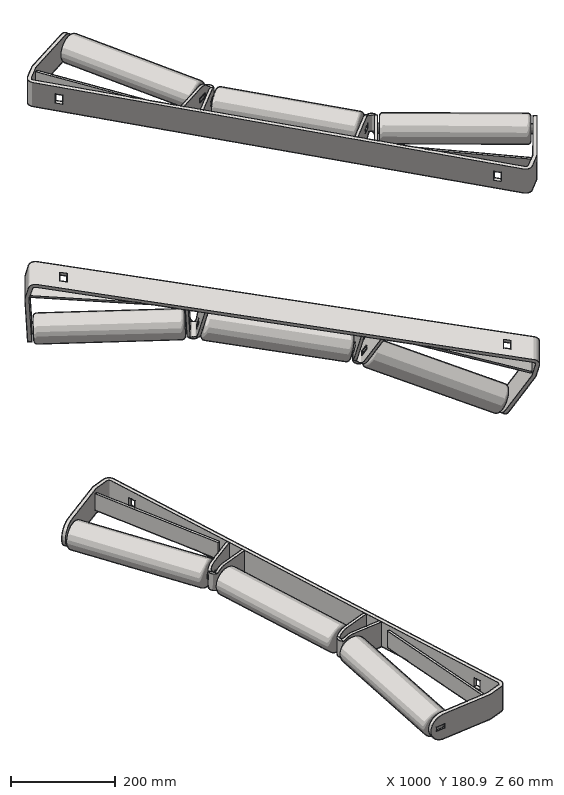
import cadquery as cq
import math

LENGTH = 1000.0
WIDTH = 60.0
FRAME_THICKNESS = 8.0
INNER_BEND_RADIUS = 6.0
TROUGH_ANGLE = 15.0
KINK_HEIGHT = 45.0
ARM_BLANK_HEIGHT = 181.0

MOUNT_SLOT_LENGTH = 15.0
MOUNT_SLOT_HEIGHT = 22.0
MOUNT_SLOT_INSET = 66.0

ROLLER_DIAMETER = 60.0
ROLLER_LENGTH = 290.0
ROLLER_EDGE_RADIUS = 7.0
SHAFT_DIAMETER = 20.0
SHAFT_LENGTH = 306.0
SHAFT_FLAT_HEIGHT = 10.0
CENTRE_ROLLER_Y = 72.0
SIDE_ROLLER_X = 319.0
SIDE_ROLLER_Y = 116.0

BRACKET_THICKNESS = 6.0
BRACKET_LEG_X = 153.0
BRACKET_TOP = 95.0
BRACKET_NECK_WIDTH = 40.0

ROUND_END_DROP = 7.0

STRUT_THICKNESS = 5.0
STRUT_WIDTH = 40.0
STRUT_ANGLE = 7.4
STRUT_WALL_Y = 47.0
STRUT_END_X = 213.0

SIN = math.sin(math.radians(TROUGH_ANGLE))
COS = math.cos(math.radians(TROUGH_ANGLE))
FRAME_BEND = INNER_BEND_RADIUS + FRAME_THICKNESS / 2
BRACKET_BEND = INNER_BEND_RADIUS + BRACKET_THICKNESS / 2
WALL_X = (LENGTH - FRAME_THICKNESS) / 2
BASE_Y = FRAME_THICKNESS / 2
ARCH_X = BRACKET_LEG_X + BRACKET_BEND

CENTRE_AXIS = cq.Plane(origin=(0, CENTRE_ROLLER_Y, 0), xDir=(0, 1, 0), normal=(1, 0, 0))
LEFT_AXIS = cq.Plane(origin=(-SIDE_ROLLER_X, SIDE_ROLLER_Y, 0), xDir=(SIN, COS, 0), normal=(COS, -SIN, 0))


def mirrored(body):
    """The same body on the other side of the middle plane."""
    return body.mirror("YZ")


def swept_strip(path, thickness):
    """Flat strip, standing on edge, along a path in the XY plane."""
    start = path.val().startPoint()
    tangent = path.val().tangentAt(0)
    section = cq.Plane(origin=start.toTuple(), xDir=(0, 0, 1), normal=tangent.toTuple())
    return cq.Workplane(section).rect(WIDTH, thickness).sweep(path)


def cylinder(axis_plane, diameter, length):
    """Cylinder along a roller axis, centred on the middle of the roller."""
    return cq.Workplane(axis_plane).workplane(offset=-length / 2).circle(diameter / 2).extrude(length)


def shaft_slots(axis_plane):
    """Cutter for the slots that hold both flattened ends of a shaft."""
    return cq.Workplane(axis_plane).rect(SHAFT_DIAMETER, SHAFT_FLAT_HEIGHT).extrude(ARCH_X, both=True)


def corner_cutter(axis_plane):
    """Leaves a half-round end on the supports at both ends of a roller."""
    centre = cq.Workplane(axis_plane).center(-ROUND_END_DROP, 0)
    beyond = centre.center(WIDTH, 0).rect(2 * WIDTH, 2 * WIDTH).extrude(ARCH_X, both=True)
    return beyond.cut(centre.circle(WIDTH / 2).extrude(ARCH_X, both=True))


def make_left_half_frame():
    """Base, upright wall and leaning arm; the arm is cut back to its half-round end."""
    kink_reach = FRAME_BEND * math.tan(math.radians(TROUGH_ANGLE / 2))
    arm_x = WALL_X - (ARM_BLANK_HEIGHT - KINK_HEIGHT) * SIN / COS
    path = (
        cq.Workplane("XY")
        .moveTo(0, BASE_Y)
        .lineTo(-WALL_X + FRAME_BEND, BASE_Y)
        .radiusArc((-WALL_X, BASE_Y + FRAME_BEND), FRAME_BEND)
        .lineTo(-WALL_X, KINK_HEIGHT - kink_reach)
        .radiusArc((-WALL_X + kink_reach * SIN, KINK_HEIGHT + kink_reach * COS), FRAME_BEND)
        .lineTo(-arm_x, ARM_BLANK_HEIGHT)
    )
    mount_slot = (
        cq.Workplane("XY")
        .box(MOUNT_SLOT_LENGTH, 2 * FRAME_THICKNESS, MOUNT_SLOT_HEIGHT)
        .translate((MOUNT_SLOT_INSET - LENGTH / 2, BASE_Y, 0))
    )
    half = swept_strip(path, FRAME_THICKNESS).cut(corner_cutter(LEFT_AXIS))
    return half.cut(shaft_slots(LEFT_AXIS)).cut(mount_slot)


def make_frame():
    half = make_left_half_frame()
    return half.union(mirrored(half))


def make_left_bracket():
    """Upright leg, arch and leaning leg, standing on the base of the frame."""
    arch_y = BRACKET_TOP - BRACKET_THICKNESS / 2 - BRACKET_BEND
    lean_x = ARCH_X + BRACKET_BEND * COS
    lean_y = arch_y + BRACKET_BEND * SIN
    path = (
        cq.Workplane("XY")
        .moveTo(-BRACKET_LEG_X, FRAME_THICKNESS)
        .lineTo(-BRACKET_LEG_X, arch_y)
        .threePointArc((-ARCH_X, arch_y + BRACKET_BEND), (-lean_x, lean_y))
        .lineTo(-lean_x - lean_y * SIN / COS, 0)
    )
    neck = cq.Workplane("XY").box(LENGTH, LENGTH, BRACKET_NECK_WIDTH)
    corners = corner_cutter(LEFT_AXIS).union(corner_cutter(CENTRE_AXIS)).cut(neck)
    base = cq.Workplane("XY").box(LENGTH, 2 * FRAME_THICKNESS, WIDTH)
    bracket = swept_strip(path, BRACKET_THICKNESS).cut(corners).cut(base)
    return bracket.cut(shaft_slots(LEFT_AXIS)).cut(shaft_slots(CENTRE_AXIS))


def make_left_strut(frame):
    """Sloping bar, trimmed where it meets the wall and the base of the frame."""
    length = (WALL_X - STRUT_END_X) / math.cos(math.radians(STRUT_ANGLE))
    bar = (
        cq.Workplane("XY")
        .box(length, STRUT_THICKNESS, STRUT_WIDTH, centered=(False, True, True))
        .rotate((0, 0, 0), (0, 0, 1), -STRUT_ANGLE)
        .translate((-WALL_X, STRUT_WALL_Y, 0))
    )
    return bar.cut(frame)


def make_roller(axis_plane, supports):
    """Barrel with a shaft whose ends are flattened to fit the slots of the supports."""
    barrel = cylinder(axis_plane, ROLLER_DIAMETER, ROLLER_LENGTH).edges("%CIRCLE").fillet(ROLLER_EDGE_RADIUS)
    roller = barrel.union(cylinder(axis_plane, SHAFT_DIAMETER, SHAFT_LENGTH))
    for support in supports:
        roller = roller.cut(support)
    return roller


frame = make_frame()
left_bracket = make_left_bracket()
left_strut = make_left_strut(frame)
left_roller = make_roller(LEFT_AXIS, [frame, left_bracket])
centre_roller = make_roller(CENTRE_AXIS, [left_bracket, mirrored(left_bracket)])

bodies = [frame.val(), centre_roller.val()]
for left_body in (left_bracket, left_strut, left_roller):
    bodies += [left_body.val(), mirrored(left_body).val()]

result = cq.Compound.makeCompound(bodies)